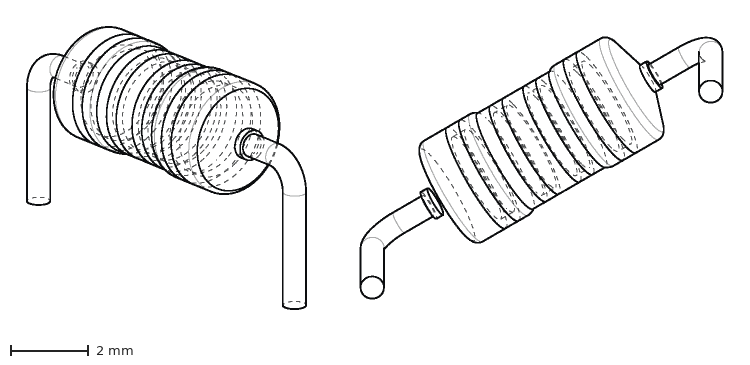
import cadquery as cq
import math

overall_length = 10.8
overall_height = 5.4

cap_diameter = 3.0
waist_diameter = 2.85
shoulder_x = 2.8
cone_tip_x = 3.2
shoulder_radius = 0.2
cap_inner_x = 1.29
waist_half_length = 1.09

band_width = 0.39
band_bore_diameter = 2.45
cap_band_x = 1.77
waist_band_x = 0.51

wire_diameter = 0.6
collar_diameter = 0.8
collar_thickness = 0.2
bend_radius = 0.8

cap_radius = cap_diameter / 2
waist_radius = waist_diameter / 2
collar_radius = collar_diameter / 2
wire_radius = wire_diameter / 2
lead_x = overall_length / 2 - wire_radius
lead_bottom_z = cap_radius - overall_height
bands = [
    (-cap_band_x, cap_diameter),
    (-waist_band_x, waist_diameter),
    (waist_band_x, waist_diameter),
    (cap_band_x, cap_diameter),
]

step_length = cap_inner_x - waist_half_length
step_height = cap_radius - waist_radius
step_radius = (step_length**2 + step_height**2) / (2 * step_height)

cone_lean = math.atan2(cone_tip_x - shoulder_x, cap_radius - collar_radius)
shoulder_start_x = shoulder_x - shoulder_radius * math.tan((math.pi / 2 - cone_lean) / 2)


def shoulder_point(angle):
    """Point (x, radius) on the +X shoulder arc, at an angle from the X axis."""
    return (
        shoulder_start_x + shoulder_radius * math.cos(angle),
        cap_radius - shoulder_radius + shoulder_radius * math.sin(angle),
    )


def mirrored(point):
    return (-point[0], point[1])


def cylinder_along_x(start_x, diameter, length):
    return cq.Workplane("YZ", origin=(start_x, 0, 0)).circle(diameter / 2).extrude(length)


def make_band(center_x, outer_diameter):
    start_x = center_x - band_width / 2
    ring = cylinder_along_x(start_x, outer_diameter, band_width)
    return ring.cut(cylinder_along_x(start_x, band_bore_diameter, band_width))


def make_body():
    """Turned body: a cone at the -X end, a flat face at the +X end."""
    rim = shoulder_point(cone_lean)
    shoulder_middle = shoulder_point((cone_lean + math.pi / 2) / 2)
    cap_outer = (shoulder_start_x, cap_radius)
    cap_inner = (cap_inner_x, cap_radius)
    waist_end = (waist_half_length, waist_radius)
    profile = (
        cq.Workplane("XZ")
        .moveTo(-cone_tip_x, 0)
        .lineTo(-cone_tip_x, collar_radius)
        .lineTo(*mirrored(rim))
        .threePointArc(mirrored(shoulder_middle), mirrored(cap_outer))
        .lineTo(*mirrored(cap_inner))
        .radiusArc(mirrored(waist_end), step_radius)
        .lineTo(*waist_end)
        .radiusArc(cap_inner, step_radius)
        .lineTo(*cap_outer)
        .threePointArc(shoulder_middle, rim)
        .lineTo(rim[0], 0)
        .close()
    )
    body = profile.revolve(360, (0, 0, 0), (1, 0, 0))
    for center_x, outer_diameter in bands:
        body = body.cut(make_band(center_x, outer_diameter))
    return body


def make_lead(side):
    """Bent wire with its collar; side is -1 for the -X end, +1 for the +X end."""
    collar = cylinder_along_x(side * cone_tip_x, collar_diameter, side * collar_thickness)
    bend_offset = bend_radius * math.sqrt(0.5)
    bend_center_x = lead_x - bend_radius
    path = (
        cq.Workplane("XZ")
        .moveTo(side * (cone_tip_x + collar_thickness), 0)
        .lineTo(side * bend_center_x, 0)
        .threePointArc(
            (side * (bend_center_x + bend_offset), bend_offset - bend_radius),
            (side * lead_x, -bend_radius),
        )
        .lineTo(side * lead_x, lead_bottom_z)
    )
    wire_start = (side * (cone_tip_x + collar_thickness), 0, 0)
    wire = cq.Workplane("YZ", origin=wire_start).circle(wire_radius).sweep(path)
    return collar.union(wire)


body = make_body()
color_bands = [make_band(center_x, outer_diameter) for center_x, outer_diameter in bands]
leads = [make_lead(side) for side in (-1, 1)]

bodies = [body, *color_bands, *leads]
result = cq.Compound.makeCompound([part.solids().val() for part in bodies])